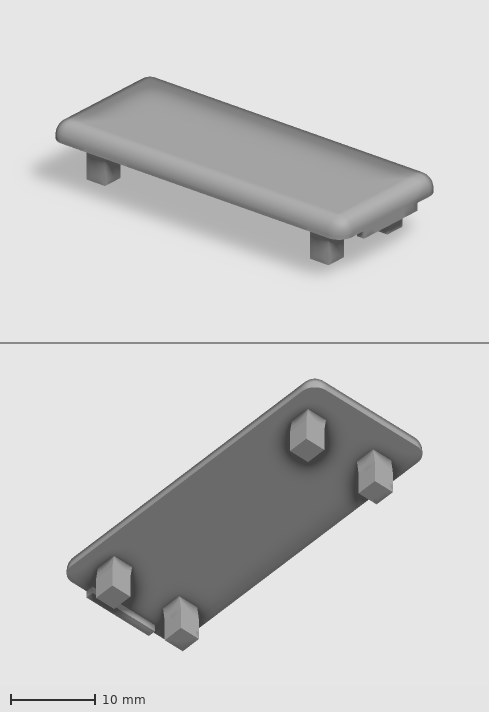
import cadquery as cq

plate_length = 45.0
plate_width = 18.5
plate_height = 2.5
edge_radius = 2.0

leg_size = 2.9
leg_height = 5.0
leg_end_inset = 3.85
leg_outer_y = 6.95
leg_bend_offset = 0.25
leg_bend_depth = 1.9

lip_thickness = 1.1
lip_depth = 1.05
lip_width = 10.0


def make_plate():
    """Flat plate with rounded corners and a rounded upper rim."""
    block = cq.Workplane("XY").box(
        plate_length, plate_width, plate_height, centered=(True, True, False)
    )
    return block.edges("|Z").fillet(edge_radius).faces(">Z").edges().fillet(edge_radius)


def make_leg(x_side, y_side):
    """Leg with a sloped upper part and a straight foot, in one plate quadrant."""
    outer = leg_outer_y
    inner = leg_outer_y - leg_size
    profile = [
        (outer - leg_bend_offset, 0),
        (outer, -leg_bend_depth),
        (outer, -leg_height),
        (inner, -leg_height),
        (inner, -leg_bend_depth),
        (inner - leg_bend_offset, 0),
    ]
    leg_centre_x = plate_length / 2 - leg_end_inset - leg_size / 2
    return (
        cq.Workplane("YZ", origin=(x_side * leg_centre_x, 0, 0))
        .polyline([(y_side * y, z) for y, z in profile])
        .close()
        .extrude(leg_size / 2, both=True)
    )


def make_lip():
    """Low bar hanging flush with the +X end of the plate."""
    lip_centre_x = (plate_length - lip_thickness) / 2
    return cq.Workplane("XY").box(lip_thickness, lip_width, lip_depth).translate(
        (lip_centre_x, 0, -lip_depth / 2)
    )


result = make_plate().union(make_lip())
for x_side in (-1, 1):
    for y_side in (-1, 1):
        result = result.union(make_leg(x_side, y_side))